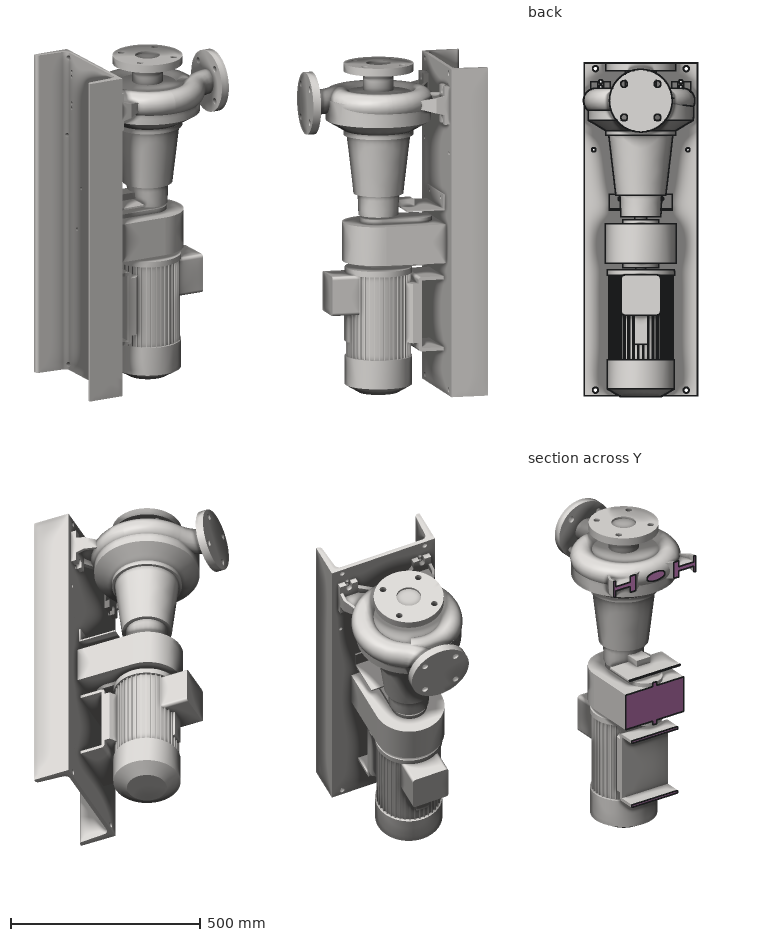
import cadquery as cq
import math


total_length = 883.0
axis_height = 160.0
frame_y = -axis_height

frame_width = 300.0
frame_height = 100.0
frame_length = 880.0
web_thickness = 11.0
flange_tip_thickness = 13.0
flange_root_thickness = 19.0
root_fillet = 14.0
tip_fillet = 9.0
corner_hole_x = 120.0
corner_hole_inset = 15.0
corner_hole_diameter = 14.0
small_hole_diameter = 10.0
support_hole_x = 55.0
support_hole_depth = 359.0
guard_hole_x = 77.0
guard_hole_depth = 479.0
side_hole_x = 124.5
side_hole_depth = 230.0

flange_thickness = 21.0
bolt_hole_diameter = 18.0
bolt_count = 4
first_bolt_angle = 45.0
suction_radius = 93.0
suction_bolt_circle_radius = 72.0
suction_bore_radius = 33.0
suction_bore_depth = 6.0
neck_radius = 41.0
discharge_radius = 83.0
discharge_bolt_circle_radius = 63.0
discharge_y = 200.0

volute_depth = 100.0
tube_diameter = 66.0
tube_radius = tube_diameter / 2
lower_turn_diameter = 229.0
lower_turn_radius = lower_turn_diameter / 2
lower_turn_x = 4.0
upper_turn_radius = lower_turn_x + lower_turn_radius
upper_turn_angle = 60.0
outlet_bend_angle = 52.0
first_turn_x = -7.0
first_turn_angle = 115.0
casing_radius = 139.5
casing_top_depth = 93.0
casing_bottom_depth = 151.0
hub_top_depth = 71.5
hub_rim_depth = 79.5
hub_radius = 97.0

cone_end_radius = 92.0
collar_top_depth = 179.0
collar_bottom_depth = 192.0
bracket_top_radius = 85.0
bracket_bottom_radius = 66.0
bracket_bottom_depth = 350.0
bearing_top_radius = 56.0
bearing_bottom_radius = 53.0
bearing_bottom_depth = 407.0
pump_shaft_radius = 16.0

foot_outer_x = 132.5
foot_inner_x = 81.0
foot_shoulder_y = -124.0
foot_pocket_shoulder_y = -122.0
foot_pad_thickness = 14.0
foot_pad_top_depth = 49.5
foot_pad_bottom_depth = 151.0
foot_web_thickness = 14.0
foot_rib_width = 8.0
foot_top_y = -71.0
foot_top_x = 104.0
foot_top_half_depth = 8.0
foot_bottom_half_depth = 28.0
arch_spring_y = -157.0
arch_top_x = 35.0
arch_top_y = -129.0
arch_rib_height = 11.0
foot_slot_x = 106.0
foot_slot_width = 16.0
foot_slot_length = 14.0

support_lug_half_width = 22.0
support_lug_y = -93.0
support_lug_top_depth = 367.0
support_plate_half_width = 83.0
support_plate_y = -56.0
support_plate_top_depth = 385.0
support_thickness = 4.0
support_flange_top_depth = 347.0

guard_radius = 94.0
guard_axis_y = 3.0
guard_top_depth = 426.0
guard_bottom_depth = 530.0
guard_collar_radius = 48.0
guard_collar_lower_y = -97.0
guard_collar_height = 11.5

motor_radius = 89.0
motor_top_depth = 547.0
motor_shield_depth = 562.0
motor_core_radius = 81.0
fin_tip_radius = 86.0
fin_count = 40
fin_thickness = 3.0
fan_cover_depth = 785.0
fan_cover_cone_depth = 862.0
fan_cover_end_radius = 53.0
motor_shaft_radius = 13.0
box_half_width = 52.0
box_y = 139.5
box_top_depth = 561.0
box_bottom_depth = 667.0
box_fillet = 9.0
box_seat_half_width = 18.0
motor_foot_y = -90.0
motor_foot_half_width = 74.0
motor_foot_side_y = -75.0
motor_foot_root_x = 49.0
motor_foot_root_y = -56.5
motor_foot_top_depth = 585.0
motor_foot_bottom_depth = 744.0

stand_thickness = 9.0
stand_half_width = motor_foot_half_width
stand_top_depth = 568.0
stand_bottom_depth = 767.0
stand_bend_radius = 8.0


def prism_z(sketch_points, top_depth, bottom_depth):
    """Closed XY outline extruded between two depths."""
    outline = cq.Workplane("XY", origin=(0, 0, -bottom_depth)).polyline(sketch_points).close()
    return outline.extrude(bottom_depth - top_depth)


def block(x_min, x_max, y_min, y_max, top_depth, bottom_depth):
    """Box between the given limits."""
    size = (x_max - x_min, y_max - y_min, bottom_depth - top_depth)
    return cq.Workplane("XY", origin=(x_min, y_min, -bottom_depth)).box(*size, centered=False)


def cylinder_z(radius, top_depth, bottom_depth):
    """Cylinder on the shaft axis between two depths."""
    return cq.Workplane("XY", origin=(0, 0, -bottom_depth)).circle(radius).extrude(bottom_depth - top_depth)


def mirrored(points):
    """The same XY points on the other side of the YZ plane."""
    return [(-x, y) for x, y in points]


def hole_pairs(places, diameter):
    """Cylinders through the baseframe web at +x and -x for each (x, depth) place."""
    points = [(side * x, -depth) for x, depth in places for side in (-1, 1)]
    plane = cq.Workplane("XZ", origin=(0, frame_y, 0))
    return plane.pushPoints(points).circle(diameter / 2).extrude(frame_height / 2, both=True)


def make_baseframe():
    """Channel with tapered flanges and the mounting holes through its web."""
    half_width = frame_width / 2
    tip_y = frame_y - frame_height
    web_y = frame_y - web_thickness
    inner_side = [
        (half_width - flange_tip_thickness, tip_y),
        (half_width - flange_root_thickness, web_y),
    ]
    right_side = [(half_width, frame_y), (half_width, tip_y)] + inner_side
    frame = prism_z(right_side + mirrored(right_side)[::-1], 0, frame_length)

    for side in (-1, 1):
        for (x, y), radius in zip(inner_side, (tip_fillet, root_fillet)):
            edge = cq.selectors.NearestToPointSelector((side * x, y, -frame_length / 2))
            frame = frame.edges("|Z").edges(edge).fillet(radius)

    small_holes = [
        (foot_slot_x, foot_pad_top_depth),
        (foot_slot_x, foot_pad_top_depth + foot_slot_length),
        (foot_slot_x, foot_pad_bottom_depth - foot_slot_length),
        (foot_slot_x, foot_pad_bottom_depth),
        (support_hole_x, support_hole_depth),
        (guard_hole_x, guard_hole_depth),
        (side_hole_x, side_hole_depth),
    ]
    corner_holes = [(corner_hole_x, corner_hole_inset), (corner_hole_x, frame_length - corner_hole_inset)]
    frame = frame.cut(hole_pairs(small_holes, small_hole_diameter))
    return frame.cut(hole_pairs(corner_holes, corner_hole_diameter))


def make_pump_flange(plane, radius, bolt_circle_radius):
    """Round flange with four bolt holes, extruded back from the given outer face plane."""
    flange = cq.Workplane(plane).circle(radius).extrude(-flange_thickness)
    holes = (
        cq.Workplane(plane)
        .polarArray(bolt_circle_radius, first_bolt_angle, 360, bolt_count)
        .circle(bolt_hole_diameter / 2)
        .extrude(-flange_thickness)
    )
    return flange.cut(holes)


def make_pump_barrel():
    """Turned casing and bearing housing, with the shaft stub that reaches the guard."""
    profile = (
        cq.Workplane("XZ")
        .moveTo(0, -hub_top_depth)
        .lineTo(neck_radius, -hub_top_depth)
        .lineTo(hub_radius, -hub_rim_depth)
        .lineTo(hub_radius, -casing_top_depth)
        .lineTo(casing_radius, -casing_top_depth)
        .lineTo(casing_radius, -casing_bottom_depth)
        .lineTo(cone_end_radius, -collar_top_depth)
        .lineTo(suction_radius, -collar_top_depth)
        .lineTo(suction_radius, -collar_bottom_depth)
        .lineTo(bracket_top_radius, -collar_bottom_depth)
        .lineTo(bracket_bottom_radius, -bracket_bottom_depth)
        .lineTo(bearing_top_radius, -bracket_bottom_depth)
        .lineTo(bearing_bottom_radius, -bearing_bottom_depth)
        .lineTo(0, -bearing_bottom_depth)
        .close()
    )
    barrel = profile.revolve(360, (0, 0, 0), (0, 1, 0))
    shaft_end_depth = guard_top_depth - guard_collar_height
    return barrel.union(cylinder_z(pump_shaft_radius, bracket_bottom_depth, shaft_end_depth))


def make_volute_tubes():
    """Main spiral tube and first turn, which start together at -x.

    The main tube passes below the casing, widens its turn at +x and bends back into the discharge
    flange. The first turn runs the other way, above the casing, and ends inside the main tube.
    """

    def turn_point(degrees):
        angle = math.radians(degrees)
        return (upper_turn_radius * math.cos(angle), upper_turn_radius * math.sin(angle))

    turn_end = turn_point(upper_turn_angle)
    bend_centre = (2 * turn_end[0], 2 * turn_end[1])

    def bend_point(degrees):
        x, y = turn_point(upper_turn_angle - degrees)
        return (bend_centre[0] - x, bend_centre[1] - y)

    start_x = lower_turn_x - lower_turn_radius
    first_turn_radius = first_turn_x - start_x

    def first_turn_point(degrees):
        angle = math.radians(180 - degrees)
        return (first_turn_x + first_turn_radius * math.cos(angle), first_turn_radius * math.sin(angle))

    first_path = (
        cq.Workplane("XY", origin=(0, 0, -volute_depth))
        .moveTo(start_x, 0)
        .threePointArc(first_turn_point(first_turn_angle / 2), first_turn_point(first_turn_angle))
    )
    main_path = (
        cq.Workplane("XY", origin=(0, 0, -volute_depth))
        .moveTo(start_x, 0)
        .threePointArc((lower_turn_x, -lower_turn_radius), (upper_turn_radius, 0))
        .threePointArc(turn_point(upper_turn_angle / 2), turn_end)
        .threePointArc(bend_point(outlet_bend_angle / 2), bend_point(outlet_bend_angle))
    )
    section_origin = (start_x, 0, -volute_depth)
    first_turn = cq.Workplane("XZ", origin=section_origin).circle(tube_radius).sweep(first_path)
    main_tube = cq.Workplane("XZ", origin=section_origin).circle(tube_radius).sweep(main_path)
    return first_turn.union(main_tube)


def make_pump_foot(side):
    """One foot: slotted pad, tapered web with a rib along its edges, and an arch below the volute."""
    pad_y = frame_y + foot_pad_thickness
    outline = [
        (foot_outer_x, frame_y),
        (foot_outer_x, foot_shoulder_y),
        (foot_top_x, foot_top_y),
        (arch_top_x, foot_top_y),
        (arch_top_x, arch_top_y),
        (foot_inner_x, arch_spring_y),
        (foot_inner_x, frame_y),
    ]
    pocket = [
        (foot_outer_x - foot_rib_width, pad_y),
        (foot_outer_x - foot_rib_width, foot_pocket_shoulder_y),
        (foot_top_x - foot_rib_width, foot_top_y),
        (arch_top_x, foot_top_y),
        (arch_top_x, arch_top_y + arch_rib_height),
        (foot_inner_x, pad_y),
    ]
    wedge = (
        cq.Workplane("YZ", origin=(-foot_outer_x, 0, -volute_depth))
        .polyline([
            (foot_top_y, foot_top_half_depth),
            (frame_y, foot_bottom_half_depth),
            (frame_y, -foot_bottom_half_depth),
            (foot_top_y, -foot_top_half_depth),
        ])
        .close()
        .extrude(2 * foot_outer_x)
    )
    if side < 0:
        outline = mirrored(outline)
        pocket = mirrored(pocket)
    web_top_depth = volute_depth - foot_web_thickness / 2
    web_bottom_depth = volute_depth + foot_web_thickness / 2
    foot = prism_z(outline, foot_pad_top_depth, foot_pad_bottom_depth).intersect(wedge)
    foot = foot.cut(prism_z(pocket, foot_pad_top_depth, web_top_depth))
    foot = foot.cut(prism_z(pocket, web_bottom_depth, foot_pad_bottom_depth))

    x_limits = sorted((side * foot_inner_x, side * foot_outer_x))
    pad = block(*x_limits, frame_y, pad_y, foot_pad_top_depth, foot_pad_bottom_depth)
    slots = (
        cq.Workplane("XZ", origin=(side * foot_slot_x, frame_y, 0))
        .pushPoints([(0, -foot_pad_top_depth), (0, -foot_pad_bottom_depth)])
        .slot2D(2 * foot_slot_length + foot_slot_width, foot_slot_width, 90)
        .extrude(-foot_pad_thickness)
    )
    return foot.union(pad).cut(slots)


def make_pump_support():
    """Lug under the bearing housing with the bent plate that stands on the baseframe."""
    half = support_plate_half_width
    plate_bottom_depth = support_plate_top_depth + support_thickness
    flange_y = frame_y + support_thickness
    lug = block(-support_lug_half_width, support_lug_half_width, support_lug_y, 0,
                support_lug_top_depth, support_plate_top_depth)
    plate = block(-half, half, frame_y, support_plate_y, support_plate_top_depth, plate_bottom_depth)
    flange = block(-half, half, frame_y, flange_y, support_flange_top_depth, plate_bottom_depth)
    holes = hole_pairs([(support_hole_x, support_hole_depth)], small_hole_diameter)
    return lug.union(plate).union(flange.cut(holes))


def make_pump():
    """Pump with its volute, flanges, bearing housing, feet and rear support in one piece."""
    suction_plane = cq.Plane((0, 0, 0), (1, 0, 0), (0, 0, 1))
    discharge_plane = cq.Plane((0, discharge_y, -volute_depth), (1, 0, 0), (0, 1, 0))
    body = make_pump_barrel().union(make_volute_tubes())
    body = body.union(cylinder_z(neck_radius, flange_thickness / 2, volute_depth))
    body = body.union(make_pump_flange(suction_plane, suction_radius, suction_bolt_circle_radius))
    body = body.union(make_pump_flange(discharge_plane, discharge_radius, discharge_bolt_circle_radius))
    body = body.cut(cylinder_z(suction_bore_radius, 0, suction_bore_depth))
    for side in (-1, 1):
        body = body.union(make_pump_foot(side))
    return body.union(make_pump_support())


def make_coupling_guard():
    """Round-topped cover standing on the baseframe, with an oblong collar at each end."""
    height = guard_bottom_depth - guard_top_depth
    dome = (
        cq.Workplane("XY", origin=(0, 0, -guard_bottom_depth))
        .moveTo(guard_radius, frame_y)
        .lineTo(guard_radius, guard_axis_y)
        .threePointArc((0, guard_axis_y + guard_radius), (-guard_radius, guard_axis_y))
        .lineTo(-guard_radius, frame_y)
        .close()
        .extrude(height)
    )
    collar_middle_y = (guard_axis_y + guard_collar_lower_y) / 2
    collar_length = guard_axis_y - guard_collar_lower_y + 2 * guard_collar_radius
    collars = (
        cq.Workplane("XY", origin=(0, collar_middle_y, -guard_bottom_depth - guard_collar_height))
        .slot2D(collar_length, 2 * guard_collar_radius, 90)
        .extrude(height + 2 * guard_collar_height)
    )
    return dome.union(collars)


def make_motor():
    """Finned motor with its shaft stub, fan cover, terminal box and feet."""
    shaft_start_depth = guard_bottom_depth + guard_collar_height
    profile = [
        (0, -shaft_start_depth),
        (motor_shaft_radius, -shaft_start_depth),
        (motor_shaft_radius, -motor_top_depth),
        (motor_radius, -motor_top_depth),
        (motor_radius, -motor_shield_depth),
        (motor_core_radius, -motor_shield_depth),
        (motor_core_radius, -fan_cover_depth),
        (motor_radius, -fan_cover_depth),
        (motor_radius, -fan_cover_cone_depth),
        (fan_cover_end_radius, -total_length),
        (0, -total_length),
    ]
    body = cq.Workplane("XZ").polyline(profile).close().revolve(360, (0, 0, 0), (0, 1, 0))

    fin_pitch = 360 / fin_count
    fin_root_radius = motor_core_radius - fin_thickness
    fins = (
        cq.Workplane("XY", origin=(0, 0, -fan_cover_depth))
        .polarArray((fin_root_radius + fin_tip_radius) / 2, fin_pitch / 2, 360, fin_count)
        .rect(fin_tip_radius - fin_root_radius, fin_thickness)
        .extrude(fan_cover_depth - motor_shield_depth)
    )
    terminal_box = block(-box_half_width, box_half_width, 0, box_y, box_top_depth, box_bottom_depth)
    terminal_box = terminal_box.edges("|Y").fillet(box_fillet)
    box_seat = block(-box_seat_half_width, box_seat_half_width, 0, motor_radius,
                     motor_foot_top_depth, motor_foot_bottom_depth)
    foot_side = [
        (motor_foot_root_x, motor_foot_root_y),
        (motor_foot_half_width, motor_foot_side_y),
        (motor_foot_half_width, motor_foot_y),
    ]
    feet = prism_z(foot_side + mirrored(foot_side)[::-1], motor_foot_top_depth, motor_foot_bottom_depth)
    return body.union(fins).union(terminal_box).union(box_seat).union(feet)


def make_motor_stand():
    """Bent plate whose two legs stand on the baseframe and whose bridge carries the motor feet."""
    stand = block(-stand_half_width, stand_half_width, frame_y, motor_foot_y,
                  stand_top_depth, stand_bottom_depth)
    stand = stand.edges("|X and >Y").fillet(stand_bend_radius)
    opening = block(-stand_half_width, stand_half_width, frame_y, motor_foot_y - stand_thickness,
                    stand_top_depth + stand_thickness, stand_bottom_depth - stand_thickness)
    return stand.cut(opening)


baseframe = make_baseframe()
pump = make_pump()
coupling_guard = make_coupling_guard()
motor = make_motor()
motor_stand = make_motor_stand()

result = cq.Compound.makeCompound([
    baseframe.val(),
    pump.val(),
    coupling_guard.val(),
    motor.val(),
    motor_stand.val(),
])